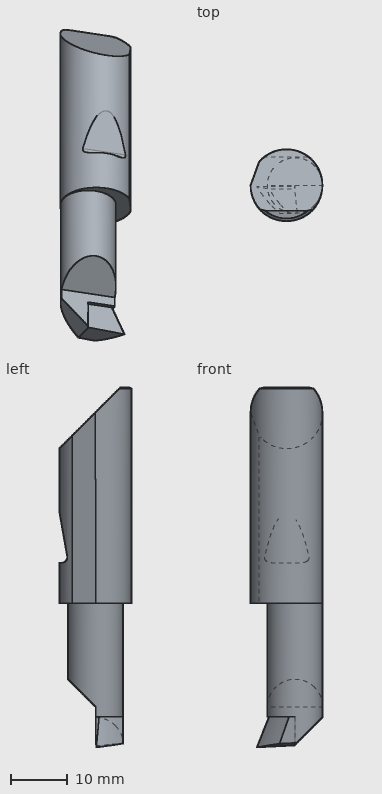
import cadquery as cq
import math

total_height = 63.5
shank_radius = 6.35
shoulder_z = 25.4
end_chamfer_radial = 0.5
end_chamfer_height = 0.25
slice_edge_y = -4.45
flat_end_angle = 140.0

notch_bottom_z = 32.6
notch_top_z = 41.35
notch_angle = 10.0
notch_corner_radius = 0.95

neck_radius = 4.9
neck_x = shank_radius - neck_radius
relief_start_z = 12.05
end_bevel_x = 1.0

tip_height = 5.4
tip_x = -5.35
tip_lean = neck_x - neck_radius - tip_x
tip_heel_x = -1.45
tip_heel_y = -neck_radius
tip_flank_bulge = 0.3
tip_point_y = -0.16
rake_drop = 0.475
end_rise_x = 0.05
end_rise_y = 0.1

margin = 3.2


def extrude_yz(points):
    """Prism across the whole width, from an outline of (y, z) points."""
    return cq.Workplane("YZ").polyline(points).close().extrude(2 * shank_radius, both=True)


def make_shank():
    shank = (
        cq.Workplane("XY")
        .workplane(offset=shoulder_z)
        .circle(shank_radius)
        .extrude(total_height - shoulder_z)
        .faces(">Z")
        .edges()
        .chamfer(end_chamfer_height, end_chamfer_radial)
    )

    slice_y = shank_radius + margin
    slice_top_z = total_height + margin
    upper_slice = extrude_yz([
        (slice_edge_y - margin, slice_top_z),
        (slice_y, total_height - (slice_y - slice_edge_y)),
        (slice_y, slice_top_z),
    ])

    angle = math.radians(flat_end_angle)
    flat_end = (shank_radius * math.cos(angle), shank_radius * math.sin(angle))
    side_flat = (
        cq.Workplane("XY")
        .polyline([(-shank_radius, 0), flat_end, (-shank_radius, flat_end[1])])
        .close()
        .extrude(total_height)
    )
    return shank.cut(upper_slice).cut(side_flat).cut(make_notch())


def make_notch():
    slope = math.tan(math.radians(notch_angle))
    floor_y = shank_radius - (notch_top_z - notch_bottom_z) * slope
    outer_y = shank_radius + 0.65
    notch = extrude_yz([
        (floor_y, notch_bottom_z),
        (outer_y, notch_bottom_z),
        (outer_y, notch_top_z + (outer_y - shank_radius) / slope),
    ])
    return notch.edges("<Y").fillet(notch_corner_radius)


def make_neck():
    neck = cq.Workplane("XY").center(neck_x, 0).circle(neck_radius).extrude(shoulder_z)

    half_relief = extrude_yz([
        (0, -margin),
        (0, relief_start_z - neck_radius),
        (neck_radius + margin, relief_start_z + margin),
        (neck_radius + margin, -margin),
    ])

    tip_space = cq.Workplane("XY").rect(4 * shank_radius, 4 * shank_radius).extrude(tip_height)
    tip_space = tip_space.translate((neck_x - 2 * shank_radius, 0, 0))
    return neck.cut(half_relief).cut(tip_space)


def tip_section(z):
    """Horizontal section of the tip, without its rake face."""
    shift = tip_lean * z / tip_height
    point = cq.Vector(tip_x + shift, 0, z)
    heel = cq.Vector(tip_heel_x + shift, tip_heel_y, z)
    chord = heel - point
    outward = cq.Vector(chord.y, -chord.x, 0).normalized()
    bulge = (point + heel) * 0.5 + outward * tip_flank_bulge
    root_heel = cq.Vector(neck_x, tip_heel_y, z)
    root = cq.Vector(neck_x, 0, z)
    return cq.Wire.assembleEdges([
        cq.Edge.makeThreePointArc(point, bulge, heel),
        cq.Edge.makeLine(heel, root_heel),
        cq.Edge.makeLine(root_heel, root),
        cq.Edge.makeLine(root, point),
    ])


def make_tip():
    sections = [tip_section(0), tip_section(tip_height)]
    tip = cq.Workplane("XY").newObject([cq.Solid.makeLoft(sections, True)])

    rake = (
        cq.Workplane("YZ")
        .workplane(offset=tip_x - margin)
        .polyline([
            (tip_point_y, 0),
            (tip_point_y - rake_drop, tip_height),
            (margin, tip_height),
            (margin, 0),
        ])
        .close()
        .extrude(neck_x - tip_x + margin)
    )
    return tip.cut(rake)


def end_clearance():
    """Space below the end face, which rises from the tip toward +X and -Y."""
    normal = cq.Vector(end_rise_x, -end_rise_y, -1)
    plane = cq.Plane(origin=(tip_x, tip_point_y, 0), xDir=(1, 0, end_rise_x), normal=normal)
    return cq.Workplane(plane).rect(4 * shank_radius, 4 * shank_radius).extrude(margin)


def end_bevel():
    """Space beyond the 45 degree bevel on the +X side of the neck."""
    outer_x = shank_radius + margin
    return (
        cq.Workplane("XZ")
        .polyline([
            (end_bevel_x - margin, -margin),
            (outer_x, outer_x - end_bevel_x),
            (outer_x, -margin),
        ])
        .close()
        .extrude(shank_radius, both=True)
    )


tool_end = make_neck().union(make_tip()).cut(end_clearance()).cut(end_bevel())
result = make_shank().union(tool_end)